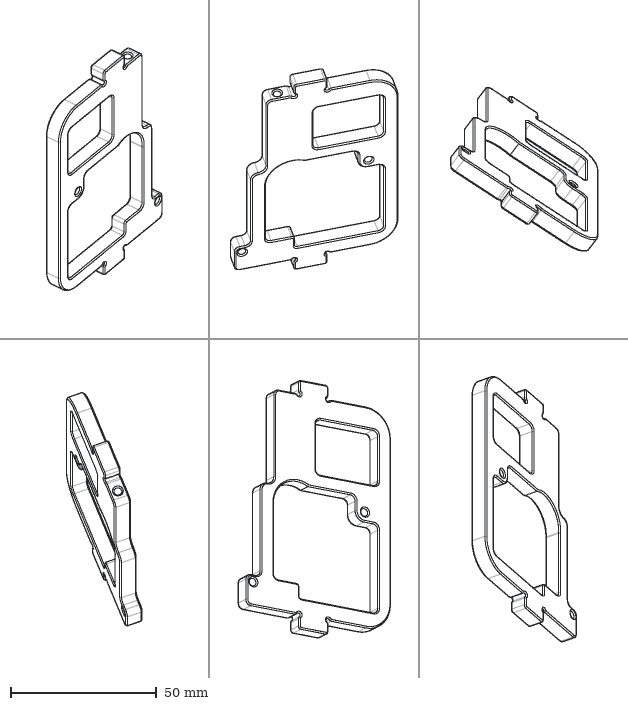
import cadquery as cq
import math

THICKNESS = 6.0
TOTAL_HEIGHT = 90.0
TOTAL_DEPTH = 58.2
EDGE_CHAMFER = 0.495

OUTER_RADIUS = 10.0
CORNER_RADIUS = 2.0
SMALL_RADIUS = 1.0

TAB_HEIGHT = 5.0
TAB_WIDTH = 11.9
TAB_BACK = 37.1
TAB_FRONT = TAB_BACK - TAB_WIDTH
RELIEF_RADIUS = 0.7
PLATE_BOTTOM = TAB_HEIGHT
PLATE_TOP = TOTAL_HEIGHT - TAB_HEIGHT
COLUMN_BACK = 47.0
ARM_BACK = 52.5
SHOULDER_Z = 50.6
SHOULDER_RADIUS = (ARM_BACK - COLUMN_BACK) / 2
FOOT_TOP = 16.3

FRONT_RAIL = 5.1
UPPER_WINDOW_BACK = 30.2
UPPER_WINDOW_BOTTOM = 57.1
UPPER_WINDOW_TOP = 77.0
LOWER_WINDOW_BACK = 47.2
LOWER_WINDOW_BOTTOM = 11.0
LOWER_WINDOW_TOP = 52.1
ARCH_TOP = 53.2
ARCH_RADIUS = 9.5
STEP_BACK = 36.9
BOSS_BACK = 14.2
BOSS_BOTTOM = 43.2
BOSS_RADIUS = 3.5

HOLE_DIAMETER = 2.7
BOSS_HOLE = (10.5, 46.7)
FOOT_HOLE = (55.5, 13.7)
TOP_HOLE_Y = 42.3
TOP_HOLE_DEPTH = 10.0

SAME_POINT = 9e-07


def rounded_outline(corners):
    """Closed YZ outline through (y, z, radius) corners, each rounded by a tangent arc."""
    outline = None
    last_end = None
    count = len(corners)
    for index, (y, z, radius) in enumerate(corners):
        corner = cq.Vector(y, z)
        to_last = (cq.Vector(*corners[index - 1][:2]) - corner).normalized()
        to_next = (cq.Vector(*corners[(index + 1) % count][:2]) - corner).normalized()
        half_angle = to_last.getAngle(to_next) / 2
        tangent_length = radius / math.tan(half_angle)
        bisector = (to_last + to_next).normalized()
        start = corner + to_last * tangent_length
        middle = corner + bisector * (radius / math.sin(half_angle) - radius)
        end = corner + to_next * tangent_length
        if outline is None:
            outline = cq.Workplane("YZ").moveTo(start.x, start.y)
        elif (start - last_end).Length > SAME_POINT:
            outline = outline.lineTo(start.x, start.y)
        outline = outline.threePointArc((middle.x, middle.y), (end.x, end.y))
        last_end = end
    return outline.close()


def slab(outline):
    """Extrude a YZ outline to the plate thickness, centred on X = 0."""
    return outline.extrude(THICKNESS).translate((-THICKNESS / 2, 0, 0))


def plate_body():
    return slab(rounded_outline([
        (0, PLATE_BOTTOM, OUTER_RADIUS),
        (0, PLATE_TOP, OUTER_RADIUS),
        (COLUMN_BACK, PLATE_TOP, CORNER_RADIUS),
        (COLUMN_BACK, SHOULDER_Z, SHOULDER_RADIUS),
        (ARM_BACK, SHOULDER_Z, SHOULDER_RADIUS),
        (ARM_BACK, FOOT_TOP, CORNER_RADIUS),
        (TOTAL_DEPTH, FOOT_TOP, CORNER_RADIUS),
        (TOTAL_DEPTH, PLATE_BOTTOM, CORNER_RADIUS),
    ]))


def tabs():
    """One column spanning the full height; its two ends stand out of the plate as tabs."""
    return slab(rounded_outline([
        (TAB_FRONT, 0, SMALL_RADIUS),
        (TAB_FRONT, TOTAL_HEIGHT, SMALL_RADIUS),
        (TAB_BACK, TOTAL_HEIGHT, SMALL_RADIUS),
        (TAB_BACK, 0, SMALL_RADIUS),
    ]))


def corner_reliefs():
    """Round notches in the inner corners where the tabs leave the plate."""
    centers = [(y, z) for y in (TAB_FRONT, TAB_BACK) for z in (PLATE_BOTTOM, PLATE_TOP)]
    return slab(cq.Workplane("YZ").pushPoints(centers).circle(RELIEF_RADIUS))


def soften_relief_lips(body):
    """Round the two sharp lips that every relief notch leaves."""
    for y in (TAB_FRONT, TAB_BACK):
        outward = 1 if y == TAB_BACK else -1
        for z, upward in ((PLATE_BOTTOM, -1), (PLATE_TOP, 1)):
            plate_lip = (0, y + outward * RELIEF_RADIUS, z)
            tab_lip = (0, y, z + upward * RELIEF_RADIUS)
            for lip in (plate_lip, tab_lip):
                body = body.edges(cq.selectors.NearestToPointSelector(lip)).fillet(SMALL_RADIUS)
    return body


def upper_window():
    return slab(rounded_outline([
        (FRONT_RAIL, UPPER_WINDOW_BOTTOM, CORNER_RADIUS),
        (FRONT_RAIL, UPPER_WINDOW_TOP, CORNER_RADIUS),
        (UPPER_WINDOW_BACK, UPPER_WINDOW_TOP, CORNER_RADIUS),
        (UPPER_WINDOW_BACK, UPPER_WINDOW_BOTTOM, CORNER_RADIUS),
    ]))


def lower_window():
    """Opening around the screw boss and the foot step, with an arched back upper corner."""
    arch_center_y = LOWER_WINDOW_BACK - ARCH_RADIUS
    arch_center_z = ARCH_TOP - ARCH_RADIUS
    opening = slab(rounded_outline([
        (FRONT_RAIL, LOWER_WINDOW_BOTTOM, CORNER_RADIUS),
        (FRONT_RAIL, BOSS_BOTTOM, CORNER_RADIUS),
        (BOSS_BACK, BOSS_BOTTOM, BOSS_RADIUS),
        (BOSS_BACK, LOWER_WINDOW_TOP, CORNER_RADIUS),
        (arch_center_y, LOWER_WINDOW_TOP, SMALL_RADIUS),
        (arch_center_y, arch_center_z, SMALL_RADIUS),
        (LOWER_WINDOW_BACK, arch_center_z, SMALL_RADIUS),
        (LOWER_WINDOW_BACK, FOOT_TOP, CORNER_RADIUS),
        (STEP_BACK, FOOT_TOP, SMALL_RADIUS),
        (STEP_BACK, LOWER_WINDOW_BOTTOM, SMALL_RADIUS),
    ]))
    arch = slab(cq.Workplane("YZ").center(arch_center_y, arch_center_z).circle(ARCH_RADIUS))
    return opening.union(arch)


def screw_holes():
    return slab(cq.Workplane("YZ").pushPoints([BOSS_HOLE, FOOT_HOLE]).circle(HOLE_DIAMETER / 2))


def top_hole():
    """Blind hole going down from the plate's top edge, with a chamfered mouth."""
    mouth = cq.Workplane("XY", origin=(0, TOP_HOLE_Y, PLATE_TOP))
    bore = mouth.circle(HOLE_DIAMETER / 2).extrude(-TOP_HOLE_DEPTH)
    mouth_radius = HOLE_DIAMETER / 2 + EDGE_CHAMFER
    cone = cq.Solid.makeCone(
        mouth_radius, HOLE_DIAMETER / 2, EDGE_CHAMFER,
        pnt=cq.Vector(0, TOP_HOLE_Y, PLATE_TOP), dir=cq.Vector(0, 0, -1),
    )
    return bore.union(cq.Workplane(cone))


frame = soften_relief_lips(plate_body().union(tabs()).cut(corner_reliefs()))
frame = frame.cut(upper_window()).cut(lower_window()).cut(screw_holes())
frame = frame.faces("<X or >X").edges().chamfer(EDGE_CHAMFER)
result = frame.cut(top_hole())